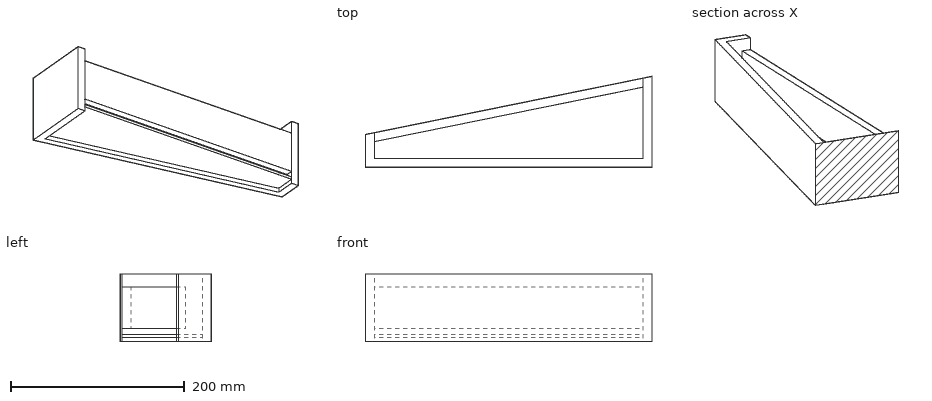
import cadquery as cq

LENGTH = 330.0
DEPTH = 105.0
NARROW_DEPTH = 38.0
HEIGHT = 78.0

WALL = 10.2
PANEL_INSET = 15.0

FLOOR_BOTTOM = 5.0
FLOOR_THICKNESS = 3.0

SLOPE = (DEPTH - NARROW_DEPTH) / LENGTH
PANEL_Y_WIDTH = WALL * (1 + SLOPE**2) ** 0.5


def back_edge(x):
    """Y of the slanted back edge at a given X."""
    return NARROW_DEPTH + SLOPE * x


def tapered_prism(margin, bottom, height):
    """Prism set in by margin from the front and both ends, reaching the slanted back edge."""
    left = margin
    right = LENGTH - margin
    outline = [
        (left, margin),
        (right, margin),
        (right, back_edge(right)),
        (left, back_edge(left)),
    ]
    return cq.Workplane("XY").workplane(offset=bottom).polyline(outline).close().extrude(height)


def make_floor():
    """Thin board fitted between the frame walls, flush with the slanted back edge."""
    return tapered_prism(WALL, FLOOR_BOTTOM, FLOOR_THICKNESS)


def make_frame():
    """Front wall and two end walls in one piece, open at the back."""
    outer = tapered_prism(0, 0, HEIGHT)
    interior = tapered_prism(WALL, 0, HEIGHT)
    return outer.cut(interior)


def make_back_panel():
    """Slanted panel between the end walls, clear of the floor and of the frame top."""
    left = WALL
    right = LENGTH - WALL
    outline = [
        (left, back_edge(left) - PANEL_Y_WIDTH),
        (right, back_edge(right) - PANEL_Y_WIDTH),
        (right, back_edge(right)),
        (left, back_edge(left)),
    ]
    panel_height = HEIGHT - 2 * PANEL_INSET
    return cq.Workplane("XY").workplane(offset=PANEL_INSET).polyline(outline).close().extrude(panel_height)


frame = make_frame()
floor = make_floor()
back_panel = make_back_panel()

result = cq.Compound.makeCompound([frame.val(), floor.val(), back_panel.val()])